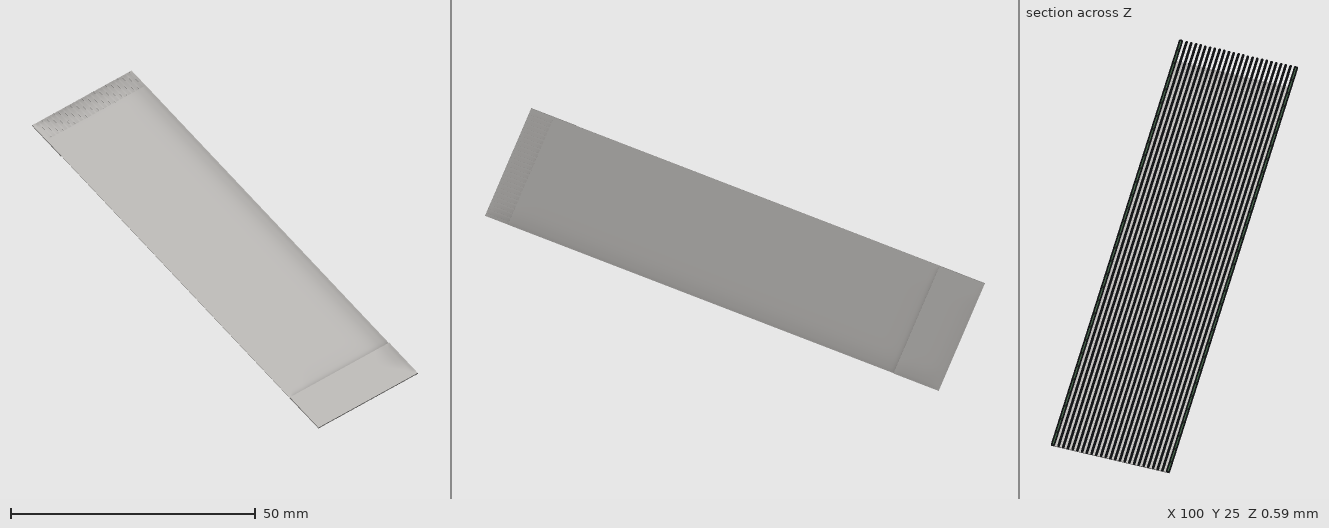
import cadquery as cq

length = 100.0
width = 25.0
total_thickness = 0.59

channel_count = 24
channel_pitch = 1.0
channel_width = 0.7
channel_height = 0.052

film_thickness = 0.043

contact_length = 5.0
stiffener_length = 10.0

channel_level = channel_height / 2
film_level = channel_level + film_thickness
outer_level = total_thickness / 2

x_left = -length / 2
x_right = length / 2


def slab(x_start, x_end, z_bottom, z_top, y_size=width):
    """Box between two X positions and two Z levels, centred on Y = 0."""
    size_x = x_end - x_start
    size_z = z_top - z_bottom
    box = cq.Workplane("XY").box(size_x, y_size, size_z, centered=(False, True, False))
    return box.translate((x_start, 0, z_bottom))


def make_ribbon():
    """Film body, without its cover over the contacts: on top at -X, underneath at +X."""
    ribbon = slab(x_left, x_right, -film_level, film_level)
    top_window = slab(x_left, x_left + contact_length, channel_level, film_level)
    bottom_window = slab(x_right - contact_length, x_right, -film_level, -channel_level)
    return ribbon.cut(top_window).cut(bottom_window)


def add_stiffeners(ribbon):
    """Back each end with a stiffener on the face opposite its bared contacts."""
    top_stiffener = slab(x_right - stiffener_length, x_right, film_level, outer_level)
    bottom_stiffener = slab(x_left, x_left + stiffener_length, -outer_level, -film_level)
    return ribbon.union(top_stiffener).union(bottom_stiffener)


def make_channels():
    """Row of parallel full-length channels, centred across the width."""
    channel = slab(x_left, x_right, -channel_level, channel_level, channel_width)
    first_center = -(channel_count - 1) * channel_pitch / 2
    channels = cq.Workplane("XY")
    for index in range(channel_count):
        y_center = first_center + index * channel_pitch
        channels = channels.add(channel.translate((0, y_center, 0)))
    return channels


cable = add_stiffeners(make_ribbon())
result = cable.cut(make_channels())